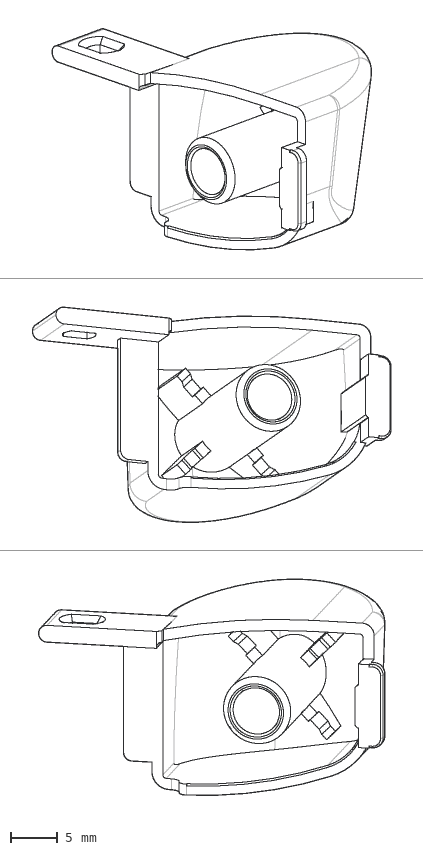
import cadquery as cq


left_x = -12.35
right_x = 12.37
wall = 1.2
top_left_z = 7.4
top_flat_x = 5.67
top_z = 9.72
bottom_z = -10.1
bottom_belly = (-0.53, -9.5)
bottom_knee = (7.68, -7.25)
bottom_right_z = 0.0
top_radius = 1.32
bottom_radius = 1.9
rim_bevel = 0.2
cavity_radius = 0.38

apex_x = -1.9
left_reach = 10.6
right_reach = 14.75
upper_z = 6.45
upper_apex_y = 19.18
upper_left_depth = 10.97
upper_right_depth = 19.3
lower_z = -8.7
lower_apex_y = 15.95
lower_left_depth = 10.6
lower_right_depth = 17.78
left_bulge = 0.87

spare = 0.38
margin = 7.55
tolerance = 0.005
bevel_angle = 45

setback = 1.85
setback_x = -10.18
lip_x = -8.1
flange_left_x = -15.45
flange_bottom_z = -7.3
flange_thickness = 0.87
flange_radius = 0.95

tab_left_x = -24.0
tab_right_x = -10.4
tab_skew = 0.23
tab_front_y = -1.25
tab_back_y = 5.8
tab_bottom_z = 6.0
tab_thickness = 1.85
tab_corner = 0.45
slot_x = -20.0
slot_y = 2.25
slot_length = 3.55
slot_width = 2.35
slot_bevel = 0.68

front_y = -2.42
boss_radius = 3.67
boss_chamfer = 0.65
bore_radius = 2.55
bore_chamfer = 0.25
rib_count = 4
rib_first_angle = 45
rib_width = 1.35
rib_outer_radius = 7.6
rib_ramp_radius = 6.8
rib_shoulder_radius = 6.25
rib_step_radius = 4.85
rib_top_y = 9.85
rib_step_y = 10.6
rib_end_y = 10.02

clip_left_x = 11.2
clip_right_x = 13.85
clip_bottom_z = -3.33
clip_top_z = 5.83
clip_lip = 1.05
clip_radius = 1.15
clip_edge = 0.23
pad_x = 10.85
pad_bottom_z = -1.2
pad_top_z = 3.5
pad_back_y = 4.9
pad_edge = 0.25


def box(x_range, y_range, z_range):
    """Box between the given limits."""
    (x0, x1), (y0, y1), (z0, z1) = x_range, y_range, z_range
    return cq.Workplane("XY").box(x1 - x0, y1 - y0, z1 - z0, centered=False).translate((x0, y0, z0))


def outline(inset, start_y):
    """Front outline of the hood at the given Y, moved inward by the inset."""
    sketch = (
        cq.Workplane("XZ", origin=(0, start_y, 0))
        .moveTo(left_x, bottom_z)
        .threePointArc(bottom_belly, bottom_knee)
        .tangentArcPoint((right_x, bottom_right_z), relative=False)
        .lineTo(right_x, top_z)
        .lineTo(top_flat_x, top_z)
        .tangentArcPoint((left_x, top_left_z), relative=False)
        .close()
    )
    return sketch.offset2D(-inset) if inset else sketch


def plan_wire(z, apex_y, left_depth, right_depth, inset):
    """Closed plan section: rounded at the back, straight-sided toward the front."""
    left_a, left_b = left_reach - inset, left_depth - inset
    right_a, right_b = right_reach - inset, right_depth - inset
    normal = cq.Vector(0, 0, 1)

    def quarter(a, b, start, end):
        center = cq.Vector(apex_x, apex_y - inset - b, z)
        if a >= b:
            return cq.Edge.makeEllipse(a, b, center, normal, cq.Vector(1, 0, 0), start, end)
        return cq.Edge.makeEllipse(b, a, center, normal, cq.Vector(0, 1, 0), start - 90, end - 90)

    right_arc = quarter(right_a, right_b, 0, 90)
    left_arc = quarter(left_a, left_b, 90, 180)
    corners = [
        cq.Vector(apex_x - left_a, apex_y - inset - left_b, z),
        cq.Vector(apex_x - left_a, -margin, z),
        cq.Vector(apex_x + right_a, -margin, z),
        cq.Vector(apex_x + right_a, apex_y - inset - right_b, z),
    ]
    sides = [cq.Edge.makeLine(a, b) for a, b in zip(corners, corners[1:])]
    return cq.Wire.assembleEdges([right_arc, left_arc] + sides)


def plan_body(inset):
    """Hood plan lofted through the full height, leaning forward at the bottom."""
    middle_z = (lower_z + upper_z) / 2
    half_height = (upper_z - lower_z) / 2

    def section(z):
        level = (z - middle_z) / half_height

        def sloped(lower, upper):
            return (lower + upper) / 2 + level * (upper - lower) / 2

        apex_y = sloped(lower_apex_y, upper_apex_y)
        left_depth = sloped(lower_left_depth, upper_left_depth) + left_bulge * (1 - level**2)
        right_depth = sloped(lower_right_depth, upper_right_depth)
        return plan_wire(z, apex_y, left_depth, right_depth, inset)

    levels = (bottom_z - spare, middle_z, top_z + spare)
    return cq.Workplane(obj=cq.Solid.makeLoft([section(z) for z in levels]))


def rounded_hood():
    """Solid hood with its back edges and long corners rounded."""
    sharp = outline(0, 0).extrude(-upper_apex_y - margin).intersect(plan_body(0))
    corner_levels = (bottom_z, top_left_z, top_z)

    def is_rounded(edge):
        bounds = edge.BoundingBox()
        on_rim = bounds.ymax < tolerance
        on_side = bounds.xlen < tolerance
        if edge.geomType() == "LINE":
            end_z = edge.Center().z
            return on_side and not on_rim and min(abs(end_z - z) for z in corner_levels) < tolerance
        return not on_rim and not on_side

    rounded = [edge for edge in sharp.edges().vals() if is_rounded(edge)]
    top_edges = [edge for edge in rounded if edge.Center().z > upper_z]
    bottom_edges = [edge for edge in rounded if edge.Center().z < upper_z]
    solid = sharp.val().fillet(top_radius, top_edges).fillet(bottom_radius, bottom_edges)
    return cq.Workplane(obj=solid)


def rim_notch():
    """Cutter that sets the rim back on the left and returns to the lip in an S-curve."""
    middle = ((setback_x + lip_x) / 2, setback / 2)
    bottom = bottom_z - margin
    return (
        cq.Workplane("XY", origin=(0, 0, bottom))
        .moveTo(left_x - margin, -margin)
        .lineTo(left_x - margin, setback)
        .lineTo(setback_x, setback)
        .tangentArcPoint(middle, relative=False)
        .tangentArcPoint((lip_x, 0), relative=False)
        .lineTo(lip_x, -margin)
        .close()
        .extrude(tab_bottom_z - bottom)
    )


def flange():
    """Thin plate beside the left wall."""
    plate = box(
        (flange_left_x, left_x + wall / 2),
        (setback, setback + flange_thickness),
        (flange_bottom_z, tab_bottom_z + tab_thickness / 2),
    )
    return plate.edges("|Y and <X and <Z").fillet(flange_radius)


def tab():
    """Flat tab with a fully rounded end, a slanted inner end and a beveled slot."""
    top = tab_bottom_z + tab_thickness
    blank = (
        cq.Workplane("XY", origin=(0, 0, tab_bottom_z))
        .moveTo(tab_left_x, tab_front_y)
        .lineTo(tab_right_x - tab_skew - tab_corner, tab_front_y)
        .lineTo(tab_right_x - tab_skew, tab_front_y + tab_corner)
        .lineTo(tab_right_x, tab_back_y)
        .lineTo(tab_left_x, tab_back_y)
        .close()
        .extrude(tab_thickness)
        .edges("|Y and <X")
        .fillet(tab_thickness / 2 - tolerance)
    )
    axis = cq.Workplane("XY", origin=(slot_x, slot_y, tab_bottom_z))
    bore = axis.circle(slot_length / 2).extrude(tab_thickness)
    bore = bore.intersect(axis.rect(slot_length, slot_width).extrude(tab_thickness))
    mouth = cq.Workplane("XY", origin=(slot_x, slot_y, top))
    cone = mouth.circle(slot_length / 2 + slot_bevel).extrude(-slot_bevel, taper=bevel_angle)
    wedge = mouth.rect(2 * slot_length, slot_width + 2 * slot_bevel).extrude(-slot_bevel, taper=bevel_angle)
    return blank.cut(bore).cut(cone.intersect(wedge))


def boss(cavity):
    """Hollow boss with a chamfered tip and four stepped ribs, ending on the back wall."""
    length = upper_apex_y - front_y
    tip = cq.Workplane("XZ", origin=(0, front_y, 0))
    post = tip.circle(boss_radius).extrude(-length)
    post = post.faces("<Y").chamfer(boss_chamfer)
    for index in range(rib_count):
        rib = (
            cq.Workplane("XY", origin=(0, 0, -rib_width / 2))
            .moveTo(0, rib_top_y)
            .lineTo(rib_step_radius, rib_top_y)
            .lineTo(rib_step_radius, rib_step_y)
            .lineTo(rib_shoulder_radius, rib_step_y)
            .lineTo(rib_ramp_radius, rib_end_y)
            .lineTo(rib_outer_radius, rib_end_y)
            .lineTo(rib_outer_radius, upper_apex_y)
            .lineTo(0, upper_apex_y)
            .close()
            .extrude(rib_width)
        )
        post = post.union(rib.rotate((0, 0, 0), (0, 1, 0), rib_first_angle + index * 360 / rib_count))
    bore = tip.circle(bore_radius).extrude(-length)
    bore_mouth = tip.circle(bore_radius + bore_chamfer).extrude(-bore_chamfer, taper=bevel_angle)
    return post.cut(bore).cut(bore_mouth).intersect(cavity)


def clip():
    """Hooked clip standing off the rim on the right, with a pad along the wall behind it."""
    arm = box((clip_left_x, right_x), (front_y, wall), (clip_bottom_z, clip_top_z))
    lip = box((clip_left_x, clip_right_x), (front_y, front_y + clip_lip), (clip_bottom_z, clip_top_z))
    lip = lip.edges("|Y and >X").fillet(clip_radius)
    lip = lip.faces("<Y").edges(">X").chamfer(clip_edge)
    pad = box((pad_x, right_x - wall / 2), (front_y, pad_back_y), (pad_bottom_z, pad_top_z))
    pad = pad.edges("|Y and <X").chamfer(pad_edge)
    return arm.union(lip).union(pad)


def hood_cavity():
    """Inside of the hood, prolonged forward past the rim, with rounded long corners."""
    prism = outline(wall, -margin).extrude(-upper_apex_y - 2 * margin)
    prism = prism.edges("|Y").edges("<X or >(1,0,1)").fillet(cavity_radius)
    return prism.intersect(plan_body(wall))


def lower_rim_bevel():
    """Bevel along the inner edge of the rim below the clip and to the right of the notch."""
    flare = outline(wall - rim_bevel, 0).extrude(-rim_bevel, taper=bevel_angle)
    return flare.intersect(box((lip_x, right_x), (0, rim_bevel), (bottom_z, clip_bottom_z)))


cavity = hood_cavity()
result = (
    rounded_hood()
    .cut(rim_notch())
    .union(flange())
    .union(tab())
    .cut(cavity)
    .cut(lower_rim_bevel())
    .union(boss(cavity))
    .union(clip())
)